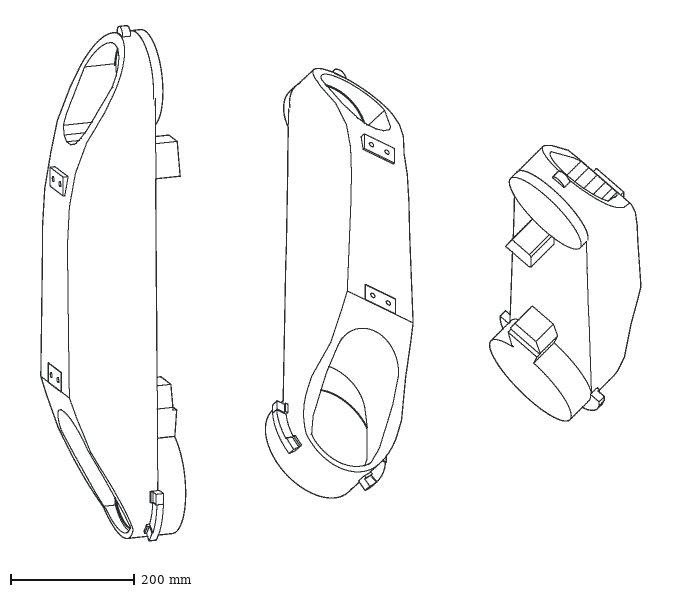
import cadquery as cq
import math


TOTAL_HEIGHT = 864.0
LOWER_RADIUS = 91.0
LOWER_Z = LOWER_RADIUS
UPPER_RADIUS = 79.5
UPPER_Z = 771.0
SIDE_BOTTOM = 95.0
SIDE_TOP = 763.5

ARM_FRONT_Y = -144.0
FRONT_PROFILE = [
    (-28.5, 0.0),
    (-34.5, 31.0),
    (-110.5, 172.0),
    (-133.0, 231.5),
    (ARM_FRONT_Y, 265.0),
    (ARM_FRONT_Y, 524.0),
    (-141.0, 586.0),
    (-130.0, 643.0),
    (-115.0, 694.0),
    (-32.0, 853.0),
]

FLANK_DEPTH = 147.0
FLANK_SECTIONS = [
    (-9.0, 123.5, 100.0),
    (173.0, 93.0, 69.0),
    (454.0, 84.0, 59.0),
    (640.0, 80.75, 54.85),
    (872.0, 111.0, 86.0),
]
FLANK_MARGIN = 26.0

LOWER_FLANGE_BACK = 48.0
UPPER_FLANGE_RADIUS = 160.0 / 2
UPPER_FLANGE_BACK = 13.0
UPPER_FLANGE_FRONT = -3.5

POCKET_FLOOR_Y = -17.0
RECESS_DEPTH = 2.0
UPPER_POCKET_RADIUS = 64.0
UPPER_POCKET_SHOULDER = (63.0, 782.0)
UPPER_RECESS_RADIUS = 63.0
FACET_RADIUS = 50.0
FACET_CENTER_Z = 725.0
FACET_ANGLE = 21.0
FACET_COUNT = 7
LOWER_POCKET_RADIUS = 81.0
LOWER_POCKET_HALF_WIDTH = 66.5
LOWER_POCKET_WALL_TOP = 128.0
LOWER_POCKET_WALL_BOTTOM = 60.5
LOWER_POCKET_ARC_HALF_WIDTH = 60.0
LOWER_POCKET_SHOULDER = (61.0, 169.0)
LOWER_POCKET_TOP = 223.0
LOWER_RECESS_RADIUS = 77.0

SCREW_PLATES = [(265.0, 298.0, -145.0), (597.0, 629.0, -142.0)]
PLATE_WIDTH = 60.5
PLATE_ROOT_Y = -121.0
SCREW_DIAMETER = 8.4
SCREW_SPACING = 31.0
SCREW_DEPTH = 9.0

EAR_RADIUS = 219.0 / 2
EAR_ROOT_RADIUS = 86.0
EAR_BACK = 3.0
EAR_FRONT = -9.0
EAR_PAD_FRONT = -10.0
EAR_PAD_BOTTOM = 82.0
EAR_PAD_TOP = 100.0
EAR_END_ANGLE = 46.0
LIP_RADIUS = 95.0
LIP_FRONT = -14.0
EAR_PAD_ANGLE = 34.0

KEY_RADIUS = 13.0
KEY_BACK = -18.0
KEY_FRONT = -32.0

UPPER_STOP = [
    (-7.0, 620.0), (-7.0, 665.0), (-3.5, 670.0), (35.0, 670.0),
    (49.0, 615.0), (-3.5, 615.0),
]
UPPER_STOP_BACK = 54.0
LOWER_STOP_X = 17.0
LOWER_STOP_HALF_WIDTH = 33.0
LOWER_STOP_END_HALF_WIDTH = 23.0
LOWER_STOP_TOP = 262.0
LOWER_STOP_SHOULDER = 225.0
LOWER_STOP_BACK = 41.5
LOWER_STOP_FOOT_Z = 173.0
LOWER_STOP_FOOT_TOP = 220.0

OVERLAP = 4.0


def prism(sketch, y_front, y_back):
    """Extrude a closed XZ sketch between two Y positions."""
    return sketch.extrude(y_back - y_front).translate((0, y_back, 0))


def polygon(points):
    return cq.Workplane("XZ").polyline(points).close()


def disc(radius, z, y_front, y_back, x=0.0):
    return prism(cq.Workplane("XZ").center(x, z).circle(radius), y_front, y_back)


def slab(x_min, x_max, z_min, z_max, y_front, y_back):
    corners = [(x_min, z_min), (x_max, z_min), (x_max, z_max), (x_min, z_max)]
    return prism(polygon(corners), y_front, y_back)


def make_arm():
    lower = (math.sqrt(LOWER_RADIUS**2 - (SIDE_BOTTOM - LOWER_Z) ** 2), SIDE_BOTTOM)
    upper = (math.sqrt(UPPER_RADIUS**2 - (SIDE_TOP - UPPER_Z) ** 2), SIDE_TOP)
    outline = (
        cq.Workplane("XZ")
        .moveTo(*lower)
        .lineTo(*upper)
        .threePointArc((0, UPPER_Z + UPPER_RADIUS), (-upper[0], upper[1]))
        .lineTo(-lower[0], lower[1])
        .threePointArc((0, LOWER_Z - LOWER_RADIUS), lower)
        .close()
    )
    blank = prism(outline, ARM_FRONT_Y, 0)

    side_points = [(0, FRONT_PROFILE[0][1])] + FRONT_PROFILE + [(0, FRONT_PROFILE[-1][1])]
    side_profile = (
        cq.Workplane("YZ").polyline(side_points).close().extrude(LOWER_RADIUS + 9, both=True)
    )
    return blank.intersect(side_profile).intersect(make_flank_envelope())


def make_flank_envelope():
    """Stack of tapering trapezoids whose sides are the sloping flanks."""
    envelope = None
    for below, above in zip(FLANK_SECTIONS, FLANK_SECTIONS[1:]):
        wires = []
        for z, back_half, front_half in (below, above):
            spread = (back_half - front_half) / FLANK_DEPTH * FLANK_MARGIN
            back_x = back_half + spread
            front_x = front_half - spread
            back_y = FLANK_MARGIN
            front_y = -FLANK_DEPTH - FLANK_MARGIN
            corners = [(-back_x, back_y), (back_x, back_y), (front_x, front_y), (-front_x, front_y)]
            wires.append(cq.Wire.makePolygon([cq.Vector(x, y, z) for x, y in corners], close=True))
        segment = cq.Workplane(cq.Solid.makeLoft(wires, True))
        envelope = segment if envelope is None else envelope.union(segment)
    return envelope


def make_upper_pocket():
    shoulder_x, shoulder_z = UPPER_POCKET_SHOULDER
    sketch = (
        cq.Workplane("XZ")
        .moveTo(-shoulder_x, shoulder_z)
        .threePointArc((0, UPPER_Z + UPPER_POCKET_RADIUS), (shoulder_x, shoulder_z))
    )
    for i in range(FACET_COUNT + 1):
        angle = math.radians(FACET_ANGLE * (FACET_COUNT / 2 - i))
        sketch = sketch.lineTo(
            FACET_RADIUS * math.sin(angle), FACET_CENTER_Z - FACET_RADIUS * math.cos(angle)
        )
    return with_recess(sketch.close(), UPPER_RECESS_RADIUS, UPPER_Z)


def make_lower_pocket():
    half = LOWER_POCKET_HALF_WIDTH
    arc_half = LOWER_POCKET_ARC_HALF_WIDTH
    arc_end_z = LOWER_Z - math.sqrt(LOWER_POCKET_RADIUS**2 - arc_half**2)
    shoulder_x, shoulder_z = LOWER_POCKET_SHOULDER
    sketch = (
        cq.Workplane("XZ")
        .moveTo(-half, LOWER_POCKET_WALL_BOTTOM)
        .lineTo(-arc_half, arc_end_z)
        .threePointArc((0, LOWER_Z - LOWER_POCKET_RADIUS), (arc_half, arc_end_z))
        .lineTo(half, LOWER_POCKET_WALL_BOTTOM)
        .lineTo(half, LOWER_POCKET_WALL_TOP)
        .lineTo(shoulder_x, shoulder_z)
        .threePointArc((0, LOWER_POCKET_TOP), (-shoulder_x, shoulder_z))
        .lineTo(-half, LOWER_POCKET_WALL_TOP)
        .close()
    )
    return with_recess(sketch, LOWER_RECESS_RADIUS, LOWER_Z)


def with_recess(sketch, radius, z):
    """Pocket cutter whose floor carries a round recess kept inside the pocket walls."""
    recess_floor = POCKET_FLOOR_Y + RECESS_DEPTH
    cutter = prism(sketch, ARM_FRONT_Y - OVERLAP, recess_floor)
    recess = disc(radius, z, POCKET_FLOOR_Y, recess_floor)
    ledge = slab(-LOWER_RADIUS, LOWER_RADIUS, 0, TOTAL_HEIGHT, POCKET_FLOOR_Y, recess_floor)
    return cutter.cut(ledge.cut(recess))


def make_screw_plate(bottom, top, front):
    return slab(-PLATE_WIDTH / 2, PLATE_WIDTH / 2, bottom, top, front, PLATE_ROOT_Y)


def make_screw_hole(bottom, top, front, side):
    x = side * SCREW_SPACING / 2
    return disc(SCREW_DIAMETER / 2, (bottom + top) / 2, front, front + SCREW_DEPTH, x)


def ring_sector(outer, start, end, y_front, y_back):
    """Part of a ring about the lower axis; angles run down from +X."""
    def at(radius, angle):
        turn = math.radians(angle)
        return (radius * math.cos(turn), LOWER_Z - radius * math.sin(turn))

    middle = (start + end) / 2
    sketch = (
        cq.Workplane("XZ")
        .moveTo(*at(EAR_ROOT_RADIUS, start))
        .lineTo(*at(outer, start))
        .threePointArc(at(outer, middle), at(outer, end))
        .lineTo(*at(EAR_ROOT_RADIUS, end))
        .threePointArc(at(EAR_ROOT_RADIUS, middle), at(EAR_ROOT_RADIUS, start))
        .close()
    )
    return prism(sketch, y_front, y_back)


def make_ear():
    """Curved band with a thicker pad at each end and a raised lip at the root of each pad."""
    ear = ring_sector(EAR_RADIUS, 0, EAR_END_ANGLE, EAR_FRONT, EAR_BACK)
    for radius, front in ((EAR_RADIUS, EAR_PAD_FRONT), (LIP_RADIUS, LIP_FRONT)):
        upper = slab(EAR_ROOT_RADIUS, radius, EAR_PAD_BOTTOM, EAR_PAD_TOP, front, EAR_BACK)
        lower = ring_sector(radius, EAR_PAD_ANGLE, EAR_END_ANGLE, front, EAR_BACK)
        ear = ear.union(upper).union(lower)
    return ear


def make_key():
    center_z = TOTAL_HEIGHT - KEY_RADIUS
    return disc(KEY_RADIUS, center_z, KEY_FRONT, KEY_BACK)


def make_lower_stop():
    half = LOWER_STOP_HALF_WIDTH
    end_half = LOWER_STOP_END_HALF_WIDTH
    head = [
        (-half, LOWER_STOP_SHOULDER), (-end_half, LOWER_STOP_TOP),
        (end_half, LOWER_STOP_TOP), (half, LOWER_STOP_SHOULDER),
        (end_half, LOWER_STOP_FOOT_Z), (-end_half, LOWER_STOP_FOOT_Z),
    ]
    stop = prism(polygon(head), -OVERLAP, LOWER_FLANGE_BACK)
    step = slab(-half, half, LOWER_STOP_FOOT_TOP, LOWER_STOP_TOP, LOWER_STOP_BACK, LOWER_FLANGE_BACK)
    return stop.cut(step).translate((LOWER_STOP_X, 0, 0))


lower_end = disc(LOWER_RADIUS, LOWER_Z, -OVERLAP, LOWER_FLANGE_BACK).union(make_lower_stop())
upper_end = disc(UPPER_FLANGE_RADIUS, UPPER_Z, UPPER_FLANGE_FRONT, UPPER_FLANGE_BACK)
upper_stop = prism(polygon(UPPER_STOP), -OVERLAP, UPPER_STOP_BACK)
ear = make_ear()

result = make_arm()
for addition in (lower_end, upper_end, upper_stop, make_key(), ear, ear.mirror("YZ")):
    result = result.union(addition)

result = result.cut(make_upper_pocket()).cut(make_lower_pocket())

for bottom, top, front in SCREW_PLATES:
    result = result.union(make_screw_plate(bottom, top, front))
    for side in (-1, 1):
        result = result.cut(make_screw_hole(bottom, top, front, side))